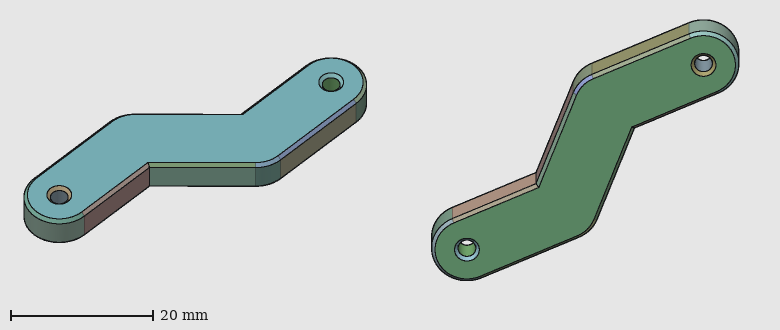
import cadquery as cq
import math

length = 52.0
total_width = 22.0
bar_width = 10.0
thickness = 5.0
edge_chamfer = 0.5
hole_diameter = 2.5
countersink_diameter = 3.5

bend_angle = math.radians(45)
radius = bar_width / 2
leg_x = (total_width - bar_width) / 2
hole_y = (length - bar_width) / 2
bend_y = leg_x / math.tan(bend_angle)
inner_corner_y = bend_y + radius * math.tan(bend_angle / 2)


def on_bend_arc(angle):
    """Point on the rounded outside of the upper bend, angle measured clockwise from +X."""
    return (leg_x + radius * math.cos(angle), bend_y - radius * math.sin(angle))


def half_turn(point):
    return (-point[0], -point[1])


def make_bar():
    leg_end = (leg_x + radius, hole_y)
    tip = (leg_x, hole_y + radius)
    tip_end = (leg_x - radius, hole_y)
    inner_corner = (leg_x - radius, inner_corner_y)
    bend_start = on_bend_arc(0)
    bend_middle = on_bend_arc(bend_angle / 2)
    bend_end = on_bend_arc(bend_angle)

    outline = (
        cq.Workplane("XY")
        .moveTo(*leg_end)
        .threePointArc(tip, tip_end)
        .lineTo(*inner_corner)
        .lineTo(*half_turn(bend_end))
        .threePointArc(half_turn(bend_middle), half_turn(bend_start))
        .lineTo(*half_turn(leg_end))
        .threePointArc(half_turn(tip), half_turn(tip_end))
        .lineTo(*half_turn(inner_corner))
        .lineTo(*bend_end)
        .threePointArc(bend_middle, bend_start)
        .close()
    )
    return outline.extrude(thickness).faces("<Z or >Z").chamfer(edge_chamfer)


def make_hole_cutter():
    """Through hole with a 45-degree countersink at both ends."""
    hole_radius = hole_diameter / 2
    sink_radius = countersink_diameter / 2
    sink_depth = sink_radius - hole_radius
    return (
        cq.Workplane("XZ")
        .polyline([
            (0, 0),
            (sink_radius, 0),
            (hole_radius, sink_depth),
            (hole_radius, thickness - sink_depth),
            (sink_radius, thickness),
            (0, thickness),
        ])
        .close()
        .revolve(360, (0, 0, 0), (0, 1, 0))
    )


result = make_bar()
for side in (-1, 1):
    result = result.cut(make_hole_cutter().translate((side * leg_x, side * hole_y, 0)))